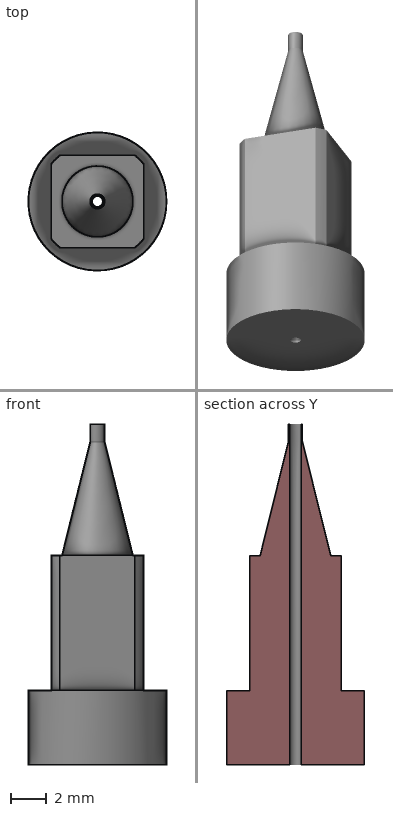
import cadquery as cq

base_diameter = 7.8
base_height = 4.2

shank_width = 5.2
shank_corner_diameter = 6.7
shank_height = 7.6

cone_base_diameter = 4.0
cone_height = 6.4

tip_diameter = 0.82
tip_height = 1.0

bore_diameter = 0.61

shank_bottom = base_height
cone_bottom = shank_bottom + shank_height
tip_bottom = cone_bottom + cone_height
total_height = tip_bottom + tip_height


def make_base():
    return cq.Workplane("XY").circle(base_diameter / 2).extrude(base_height)


def make_shank():
    """Trim a square bar with a coaxial cylinder so that its corners are rounded."""
    start_plane = cq.Workplane("XY").workplane(offset=shank_bottom)
    square_bar = start_plane.rect(shank_width, shank_width).extrude(shank_height)
    round_bar = start_plane.circle(shank_corner_diameter / 2).extrude(shank_height)
    return square_bar.intersect(round_bar)


def make_nozzle():
    """Revolve the half section of the cone and the tip about the Z axis."""
    tip_radius = tip_diameter / 2
    half_section = (
        cq.Workplane("XZ")
        .moveTo(0, cone_bottom)
        .lineTo(cone_base_diameter / 2, cone_bottom)
        .lineTo(tip_radius, tip_bottom)
        .lineTo(tip_radius, total_height)
        .lineTo(0, total_height)
        .close()
    )
    return half_section.revolve(360, (0, 0, 0), (0, 1, 0))


def make_bore():
    return cq.Workplane("XY").circle(bore_diameter / 2).extrude(total_height)


result = make_base().union(make_shank()).union(make_nozzle()).cut(make_bore())